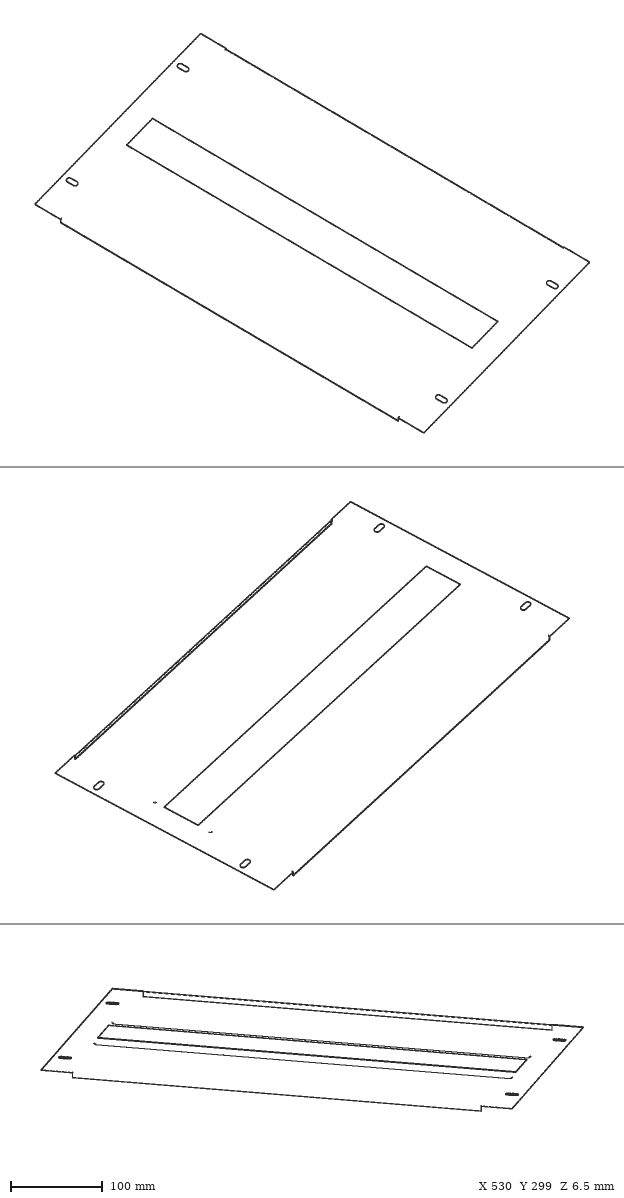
import cadquery as cq
import math

PANEL_LENGTH = 530.0
PANEL_WIDTH = 299.0
FLANGE_HEIGHT = 6.5
SHEET = 1.0

FLANGE_LENGTH = 460.0
BEND_INNER_RADIUS = 1.0
BEND_OUTER_RADIUS = BEND_INNER_RADIUS + SHEET

WINDOW_LENGTH = 470.5
WINDOW_WIDTH = 46.5

SLOT_WIDTH = 6.5
SLOT_LENGTH = 14.2
SLOT_X = 251.5
SLOT_Y = 100.0

RIB_STRAIGHT = 465.0
RIB_CREST_RADIUS = 2.5
RIB_SHOULDER_RADIUS = 4.25
RIB_FLANK_ANGLE = 51.0
RIB_Y = 38.0


def make_block(length, width, bottom_z, top_z):
    """Box centred in X and Y, spanning bottom_z to top_z."""
    return cq.Workplane("XY").workplane(offset=bottom_z).rect(length, width).extrude(top_z - bottom_z)


def make_panel():
    """Flat panel with two folded flanges, shorter than the panel in X."""
    panel = make_block(PANEL_LENGTH, PANEL_WIDTH, -SHEET, 0)
    folded_zone = make_block(FLANGE_LENGTH, PANEL_WIDTH, -FLANGE_HEIGHT, 0)
    outside = folded_zone.edges("|X and >Z").fillet(BEND_OUTER_RADIUS)
    inside = make_block(FLANGE_LENGTH, PANEL_WIDTH - 2 * SHEET, -FLANGE_HEIGHT, -SHEET)
    inside = inside.edges("|X and >Z").fillet(BEND_INNER_RADIUS)
    return panel.cut(folded_zone).union(outside.cut(inside))


def make_window():
    """Cutter for the central window, deeper than the sheet."""
    return make_block(WINDOW_LENGTH, WINDOW_WIDTH, -2 * SHEET, SHEET)


def make_slot(side_x, side_y):
    """Cutter for one mounting slot; side_x and side_y choose the corner."""
    return (
        cq.Workplane("XY")
        .center(side_x * SLOT_X, side_y * SLOT_Y)
        .slot2D(SLOT_LENGTH, SLOT_WIDTH)
        .extrude(2 * SHEET, both=True)
    )


def make_rib_form(y, top_z, crest_radius, shoulder_radius):
    """Solid bead with a rounded crest pointing down and rounded shoulders, its mouth at top_z.

    The crest arc and the two shoulder arcs are tangent where the flank slopes at RIB_FLANK_ANGLE.
    """
    flank = math.radians(RIB_FLANK_ANGLE)
    half_flank = flank / 2
    depth = (crest_radius + shoulder_radius) * (1 - math.cos(flank))
    crest_centre_z = crest_radius - depth
    mouth = (crest_radius + shoulder_radius) * math.sin(flank)
    joint = (crest_radius * math.sin(flank), crest_centre_z - crest_radius * math.cos(flank))
    crest_mid = (crest_radius * math.sin(half_flank), crest_centre_z - crest_radius * math.cos(half_flank))
    shoulder_mid = (
        mouth - shoulder_radius * math.sin(half_flank),
        shoulder_radius * (math.cos(half_flank) - 1),
    )
    half_section = (
        cq.Workplane("YZ")
        .lineTo(0, -depth)
        .threePointArc(crest_mid, joint)
        .threePointArc(shoulder_mid, (mouth, 0))
        .close()
    )
    positive_y_half = half_section.extrude(RIB_STRAIGHT / 2, both=True)
    form = positive_y_half.union(positive_y_half.mirror("XZ"))
    end = half_section.toPending().revolve(180, (0, 0, 0), (0, 1, 0))
    end = end.translate((-RIB_STRAIGHT / 2, 0, 0))
    form = form.union(end).union(end.mirror("YZ"))
    return form.translate((0, y, top_z))


result = make_panel().cut(make_window())
for side_y in (-1, 1):
    for side_x in (-1, 1):
        result = result.cut(make_slot(side_x, side_y))
    rib_y = side_y * RIB_Y
    underside = make_rib_form(rib_y, -SHEET, RIB_CREST_RADIUS + SHEET, RIB_SHOULDER_RADIUS - SHEET)
    groove = make_rib_form(rib_y, 0, RIB_CREST_RADIUS, RIB_SHOULDER_RADIUS)
    result = result.union(underside).cut(groove)